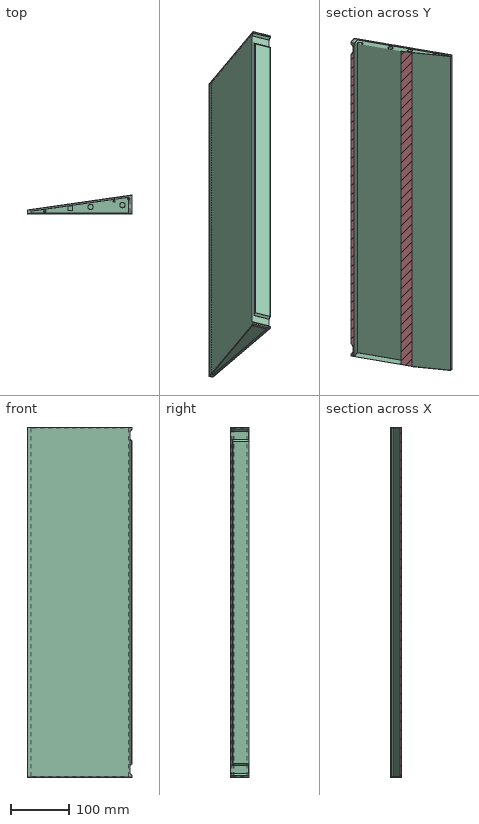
import cadquery as cq

length = 600.0
width = 180.0
depth = 32.5
nose_depth = 6.5

front_skin = 2.0
back_skin = 3.0
cap = 1.0

lip_height = 3.5
lip_half_length = 276.0
cap_edge = 3.0
front_step = 3.0
lip_chamfer = 1.0

recess_depth = 0.5
round_recesses = [
    (30.0, 5.0, 3.5),
    (108.5, 12.0, 9.0),
    (149.0, 21.5, 3.0),
    (163.0, 15.0, 9.0),
    (174.0, 26.0, 3.5),
]

square_side = 8.0
square_x = 74.0
square_y = 9.5

half_length = length / 2
body_width = width - lip_height
back_slope = (depth - nose_depth) / width


def wedge(x_start, x_end, front_inset, back_inset, z_half):
    """Wedge prism between two X stations, inset from the front and back faces."""
    back_start = nose_depth + back_slope * x_start - back_inset
    back_end = nose_depth + back_slope * x_end - back_inset
    outline = [
        (x_start, front_inset),
        (x_end, front_inset),
        (x_end, back_end),
        (x_start, back_start),
    ]
    return cq.Workplane("XY").workplane(offset=-z_half).polyline(outline).close().extrude(2 * z_half)


def heel_notch(side):
    """Notch with sloping ends between the lip and one end cap (side is +1 or -1)."""
    cap_z = half_length - cap_edge
    points = [
        (width, side * lip_half_length),
        (body_width, side * (lip_half_length + lip_height)),
        (body_width, side * (cap_z - lip_height)),
        (width, side * cap_z),
    ]
    return cq.Workplane("XZ").polyline(points).close().extrude(-depth)


def lip_setback():
    """Step and chamfer that set the lip back from the front face, between the notches."""
    outline = [
        (body_width, 0),
        (width, 0),
        (width, front_step + lip_chamfer),
        (width - lip_chamfer, front_step),
        (body_width, front_step),
    ]
    z_half = lip_half_length + lip_height
    return cq.Workplane("XY").workplane(offset=-z_half).polyline(outline).close().extrude(2 * z_half)


result = wedge(0, width, 0, 0, half_length)
cavity = wedge(2 * back_skin, body_width - back_skin, front_skin, back_skin, half_length - cap)
result = result.cut(cavity)

for side in (1, -1):
    result = result.cut(heel_notch(side))
result = result.cut(lip_setback())

recess_floor = cq.Workplane("XY").workplane(offset=half_length - recess_depth)
for x, y, diameter in round_recesses:
    result = result.cut(recess_floor.center(x, y).circle(diameter / 2).extrude(recess_depth))
square_recess = recess_floor.center(square_x, square_y).rect(square_side, square_side).extrude(recess_depth)
result = result.cut(square_recess)